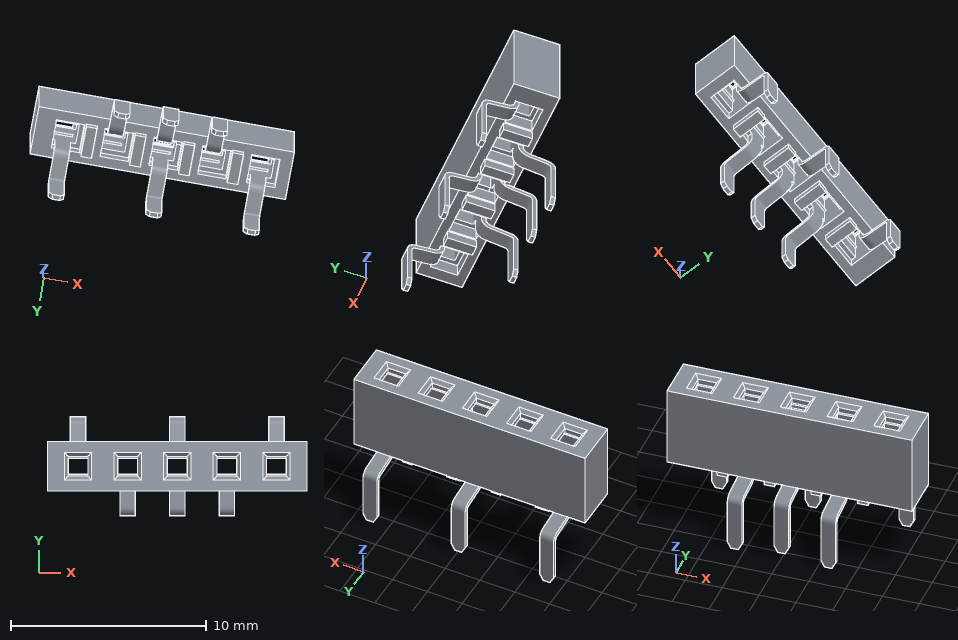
import cadquery as cq
import math

overall_height = 8.1

positions = 5
pitch = 2.54
housing_length = 13.3
housing_width = 2.54
housing_height = 4.45

foot_length = 0.56
foot_width = 1.6
foot_height = 0.55

entry_size = 1.0
entry_lead_in = 0.2
entry_depth = 0.5
ceiling_z = housing_height - entry_depth

sheet = 0.25
plate_inner_y = entry_size / 2
plate_outer_y = plate_inner_y + sheet
cup_open_x = -0.55
cup_inner_x = 0.67
cup_outer_x = cup_inner_x + sheet
cup_corner_radius = 0.055
cup_top_gap = 0.1
cup_top_z = ceiling_z - cup_top_gap
cup_bottom_z = 0.8
ridge_reach = 0.1
ridge_z = 2.2

leg_width = 0.8
leg_outer_y = 2.54
leg_tip_z = housing_height - overall_height
leg_tip_width = 0.4
leg_tip_length = 0.38
leg_slope_angle = 7
leg_slope = math.tan(math.radians(leg_slope_angle))
leg_shoulder_z = -0.26
knee_inner_radius = 0.2
shoulder_inner_radius = 0.38

leg_raise = 0.33
top_band_height = 0.2
centre_split_z = cup_top_z - top_band_height


def box(x0, x1, y0, y1, z0, z1):
    """Box between the given limits."""
    return cq.Workplane("XY").box(x1 - x0, y1 - y0, z1 - z0, centered=False).translate((x0, y0, z0))


def make_foot(x):
    return box(x - foot_length / 2, x + foot_length / 2, -foot_width / 2, foot_width / 2, -foot_height, 0)


def make_entry(x):
    """Square hole with a 45 degree lead-in, from the housing top to the cavity ceiling."""
    mouth_size = entry_size + 2 * entry_lead_in
    lead_in = (
        cq.Workplane("XY", origin=(x, 0, housing_height))
        .rect(mouth_size, mouth_size)
        .workplane(offset=-entry_lead_in)
        .rect(entry_size, entry_size)
        .loft(ruled=True)
    )
    half = entry_size / 2
    return lead_in.union(box(x - half, x + half, -half, half, ceiling_z, housing_height - entry_lead_in))


def make_cavity(x):
    """Pocket open at the underside; its walls hold the contact cup."""
    return box(x + cup_open_x, x + cup_outer_x, -plate_outer_y, plate_outer_y, 0, ceiling_z)


def make_ridge():
    """Contact ridge on the inside of the +Y plate, overlapping into the plate."""
    half_height = ridge_reach + sheet / 2
    root_y = plate_inner_y + sheet / 2
    profile = [
        (root_y, ridge_z + half_height),
        (plate_inner_y - ridge_reach, ridge_z),
        (root_y, ridge_z - half_height),
    ]
    length = entry_size / 2 - cup_open_x
    return cq.Workplane("YZ", origin=(cup_open_x, 0, 0)).polyline(profile).close().extrude(length)


def make_channel(z0, z1):
    """U-shaped channel, open toward -X, that fits the cavity walls between two heights."""
    outside = box(cup_open_x, cup_outer_x, -plate_outer_y, plate_outer_y, z0, z1)
    inside = box(cup_open_x, cup_inner_x, -plate_inner_y, plate_inner_y, z0, z1)
    return outside.cut(inside.edges("|Z and >X").fillet(cup_corner_radius))


def make_cup():
    """Contact channel with a ridge on each of its two facing plates."""
    ridge = make_ridge()
    return make_channel(cup_bottom_z, cup_top_z).union(ridge).union(ridge.mirror("XZ"))


def make_leg(raise_z):
    """Leg leaving the +Y plate: down, outward along a shallow slope, then down to a tapered tip."""
    slope_drop = sheet * math.hypot(1, leg_slope)
    tip_z = leg_tip_z + raise_z

    def slope_z(y):
        return leg_shoulder_z + raise_z - leg_slope * (y - plate_outer_y)

    knee_inner_y = leg_outer_y - sheet
    shoulder_inner = (plate_outer_y, slope_z(plate_outer_y))
    shoulder_outer = (plate_inner_y, slope_z(plate_inner_y) - slope_drop)
    knee_outer = (leg_outer_y, slope_z(leg_outer_y))
    knee_inner = (knee_inner_y, slope_z(knee_inner_y) - slope_drop)
    profile = [
        (plate_outer_y, cup_bottom_z),
        shoulder_inner,
        knee_outer,
        (leg_outer_y, tip_z),
        (knee_inner_y, tip_z),
        knee_inner,
        shoulder_outer,
        (plate_inner_y, cup_bottom_z),
    ]
    leg = cq.Workplane("YZ").polyline(profile).close().extrude(leg_width / 2, both=True)
    bends = [
        (shoulder_inner, shoulder_inner_radius),
        (shoulder_outer, shoulder_inner_radius + sheet),
        (knee_inner, knee_inner_radius),
        (knee_outer, knee_inner_radius + sheet),
    ]
    for (y, z), radius in bends:
        leg = leg.edges(cq.selectors.NearestToPointSelector((0, y, z))).fillet(radius)

    taper_z = tip_z + leg_tip_length
    outline = [
        (-leg_tip_width / 2, tip_z),
        (leg_tip_width / 2, tip_z),
        (leg_width / 2, taper_z),
        (leg_width / 2, cup_bottom_z),
        (-leg_width / 2, cup_bottom_z),
        (-leg_width / 2, taper_z),
    ]
    return leg.intersect(cq.Workplane("XZ").polyline(outline).close().extrude(-leg_outer_y))


def make_contact(x, side):
    """Contact whose leg points toward +Y (side = 1) or -Y (side = -1)."""
    leg = make_leg(0)
    if side < 0:
        leg = leg.mirror("XZ")
    return make_cup().union(leg).translate((x, 0, 0))


def make_centre_contacts():
    """Two interlocking contacts at X = 0: the raised one takes the -Y plate and the top band."""
    cup = make_cup()
    ridge_tip_y = ridge_reach - plate_inner_y
    front_slab = box(cup_open_x, cup_outer_x, -plate_outer_y, ridge_tip_y, cup_bottom_z, cup_top_z)
    top_band = box(cup_open_x, cup_outer_x, -plate_outer_y, plate_outer_y, centre_split_z, cup_top_z)
    raised_region = front_slab.union(top_band)
    raised = cup.intersect(raised_region).union(make_leg(leg_raise).mirror("XZ"))
    lower = cup.cut(raised_region).union(make_leg(0))
    return lower, raised


centre_contact, raised_contact = make_centre_contacts()
centre_spacer = make_channel(cup_top_z, ceiling_z)
contact_xs = [(i - (positions - 1) / 2) * pitch for i in range(positions)]
contacts = []
for i, x in enumerate(contact_xs):
    if i != positions // 2:
        contacts.append(make_contact(x, 1 if i % 2 == 0 else -1))

half_length = housing_length / 2
half_width = housing_width / 2
housing = box(-half_length, half_length, -half_width, half_width, 0, housing_height)
for x in contact_xs:
    housing = housing.cut(make_entry(x)).cut(make_cavity(x))
for x in contact_xs[:-1]:
    housing = housing.union(make_foot(x + pitch / 2))
for contact in [centre_contact, raised_contact, *contacts]:
    housing = housing.cut(contact)

bodies = [housing, centre_contact, raised_contact, centre_spacer, *contacts]
result = cq.Compound.makeCompound([body.solids().val() for body in bodies])